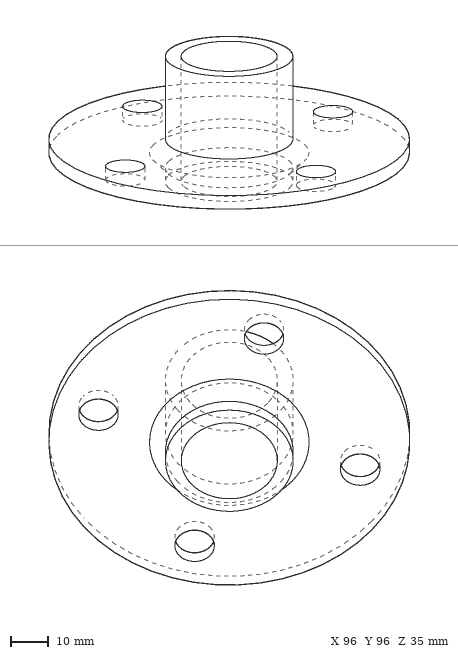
import cadquery as cq

flange_diameter = 96.0
flange_thickness = 3.8

tube_diameter = 34.0
bore_diameter = 25.5
tube_length = 35.0
tube_above_flange = 23.1

weld_leg = 4.2

bolt_hole_diameter = 10.5
bolt_circle_diameter = 72.0
bolt_hole_count = 4

flange_top = tube_length - tube_above_flange
flange_bottom = flange_top - flange_thickness
weld_bottom = flange_bottom - weld_leg


def make_tube():
    return cq.Workplane("XY").circle(tube_diameter / 2).extrude(tube_length)


def make_flange():
    return (
        cq.Workplane("XY", origin=(0, 0, flange_bottom))
        .circle(flange_diameter / 2)
        .extrude(flange_thickness)
        .faces(">Z")
        .workplane()
        .polarArray(bolt_circle_diameter / 2, 0, 360, bolt_hole_count)
        .hole(bolt_hole_diameter)
    )


def make_weld():
    """Solid cone that widens from the tube to the flange underside."""
    tube_radius = tube_diameter / 2
    return (
        cq.Workplane("XY", origin=(0, 0, weld_bottom))
        .circle(tube_radius)
        .workplane(offset=weld_leg)
        .circle(tube_radius + weld_leg)
        .loft(ruled=True)
    )


bore = cq.Workplane("XY").circle(bore_diameter / 2).extrude(tube_length)

result = make_tube().union(make_flange()).union(make_weld()).cut(bore)